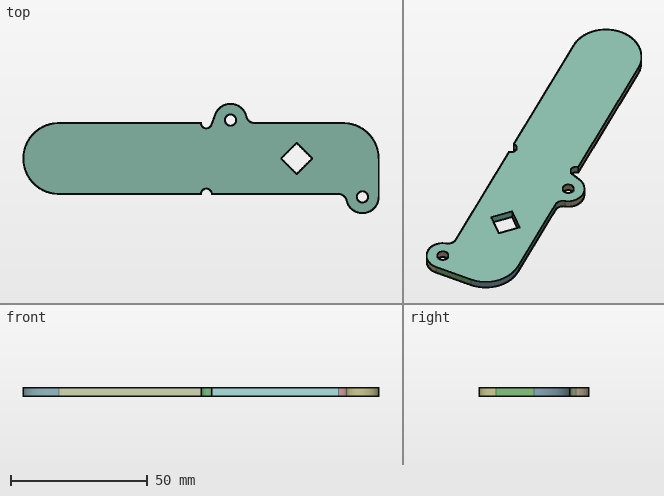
import cadquery as cq
import math

length = 130.0
body_width = 26.0
thickness = 3.2
total_width = 40.0
tab_radius = 6.0
tab_hole_diameter = 4.0
fillet_radius = 3.0
notch_radius = 2.0
notch_x = 67.0
upper_tab_x = 75.8
square_side = 8.0
square_x = 100.0

half_width = body_width / 2
tab_y = total_width / 2 - tab_radius
lower_tab_x = length - tab_radius
corner_x = length - half_width


def on_circle(center, radius, angle):
    """Point on a circle, with the angle in radians from +X."""
    return (center[0] + radius * math.cos(angle), center[1] + radius * math.sin(angle))


upper_tab = (upper_tab_x, tab_y)
lower_tab = (lower_tab_x, -tab_y)
upper_notch = (notch_x, half_width)
lower_notch = (notch_x, -half_width)

fillet_rise = half_width + fillet_radius - tab_y
fillet_run = math.sqrt((tab_radius + fillet_radius) ** 2 - fillet_rise**2)
fillet_angle = math.atan2(fillet_rise, fillet_run)
upper_fillet = (upper_tab_x + fillet_run, half_width + fillet_radius)
lower_fillet = (lower_tab_x - fillet_run, -half_width - fillet_radius)
fillet_middle_angle = (math.pi + fillet_angle + 3 * math.pi / 2) / 2

notch_to_tab_x = upper_tab_x - notch_x
notch_to_tab_y = tab_y - half_width
center_distance = math.hypot(notch_to_tab_x, notch_to_tab_y)
center_angle = math.atan2(notch_to_tab_y, notch_to_tab_x)
flank_angle = center_angle - math.acos((notch_radius + tab_radius) / center_distance)
tab_flank_angle = flank_angle + math.pi

outline = (
    cq.Workplane("XY")
    .moveTo(half_width, half_width)
    .lineTo(notch_x - notch_radius, half_width)
    .threePointArc(
        on_circle(upper_notch, notch_radius, -math.pi / 2),
        on_circle(upper_notch, notch_radius, flank_angle),
    )
    .lineTo(*on_circle(upper_tab, tab_radius, tab_flank_angle))
    .threePointArc(
        on_circle(upper_tab, tab_radius, math.pi / 2),
        on_circle(upper_tab, tab_radius, fillet_angle),
    )
    .threePointArc(
        on_circle(upper_fillet, fillet_radius, fillet_middle_angle),
        (upper_fillet[0], half_width),
    )
    .lineTo(corner_x, half_width)
    .threePointArc(on_circle((corner_x, 0), half_width, math.pi / 4), (length, 0))
    .lineTo(length, -tab_y)
    .threePointArc(
        on_circle(lower_tab, tab_radius, -math.pi / 2),
        on_circle(lower_tab, tab_radius, math.pi + fillet_angle),
    )
    .threePointArc(
        on_circle(lower_fillet, fillet_radius, fillet_middle_angle - math.pi),
        (lower_fillet[0], -half_width),
    )
    .lineTo(notch_x + notch_radius, -half_width)
    .threePointArc(
        on_circle(lower_notch, notch_radius, math.pi / 2),
        (notch_x - notch_radius, -half_width),
    )
    .lineTo(half_width, -half_width)
    .threePointArc((0, 0), (half_width, half_width))
    .close()
)
plate = outline.extrude(thickness)

tab_holes = (
    cq.Workplane("XY")
    .pushPoints([upper_tab, lower_tab])
    .circle(tab_hole_diameter / 2)
    .extrude(thickness)
)

square_hole = (
    cq.Workplane("XY")
    .center(square_x, 0)
    .transformed(rotate=(0, 0, 45))
    .rect(square_side, square_side)
    .extrude(thickness)
)

result = plate.cut(tab_holes).cut(square_hole)